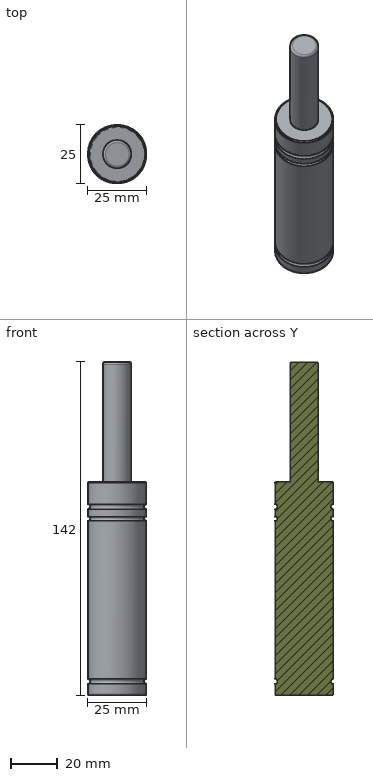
import cadquery as cq

total_height = 142.0
body_diameter = 25.0
body_height = 91.0
rod_diameter = 12.0

rod_fillet = 1.0
body_top_chamfer = 0.5
body_bottom_fillet = 0.7

wide_groove = 2.1
narrow_groove = 1.7
groove_depth = 1.0
grooves = [
    (6.0, wide_groove),
    (75.3, narrow_groove),
    (80.4, wide_groove),
]

body_radius = body_diameter / 2
rod_height = total_height - body_height


def make_body():
    """Cylinder with a chamfered top rim and a rounded bottom rim."""
    body = cq.Workplane("XY").circle(body_radius).extrude(body_height)
    body = body.faces(">Z").chamfer(body_top_chamfer)
    return body.faces("<Z").fillet(body_bottom_fillet)


def make_rod():
    """Piston rod with a rounded tip."""
    rod = cq.Workplane("XY").workplane(offset=body_height)
    rod = rod.circle(rod_diameter / 2).extrude(rod_height)
    return rod.faces(">Z").fillet(rod_fillet)


def make_groove_cutter(height, width):
    """Ring with an arc-shaped inner side, closed by a straight side on the body surface."""
    return (
        cq.Workplane("XZ")
        .moveTo(body_radius, height - width / 2)
        .threePointArc((body_radius - groove_depth, height), (body_radius, height + width / 2))
        .close()
        .revolve(360, (0, 0, 0), (0, 1, 0))
    )


result = make_body().union(make_rod())
for groove_height, groove_width in grooves:
    result = result.cut(make_groove_cutter(groove_height, groove_width))